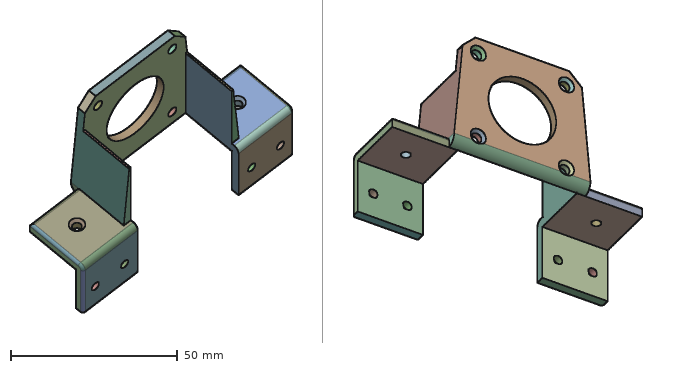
import cadquery as cq

overall_length = 88.0
overall_depth = 26.0
overall_height = 60.99

plate_size = 42.0
plate_thickness = 3.0
plate_foot_width = 48.0
corner_cut = 4.5
foot_radius = 3.5
pilot_diameter = 23.78
motor_hole_spacing = 31.0
motor_hole_diameter = 3.4

shelf_thickness = 3.7
flange_thickness = 3.0
bend_radius = 2.0
edge_radius = 1.0
ear_hole_diameter = 3.0
shelf_hole_x = 13.0
shelf_hole_positions_y = (-33.9, 33.1)
flange_hole_positions_y = (-38.7, -26.5, 26.5, 38.5)
flange_hole_z = 8.8

wall_height = 25.8

countersink_width = 1.0

half_length = overall_length / 2
plate_half_width = plate_size / 2
foot_half_width = plate_foot_width / 2
plate_bottom = overall_height - plate_size
shelf_top = plate_bottom + shelf_thickness
wall_top = shelf_top + wall_height
flange_x = overall_depth - flange_thickness
motor_axis_z = overall_height - plate_size / 2
corner_z = overall_height - corner_cut
ear_width = half_length - plate_half_width


def tapered_half_width(z):
    """Half width of the motor plate at height z, above the shelf."""
    fraction = (z - shelf_top) / (corner_z - shelf_top)
    return foot_half_width + fraction * (plate_half_width - foot_half_width)


def countersunk_cutter(plane, diameter, depth):
    """Through-hole cutter with a 45-degree countersink, entering along the plane's normal."""
    radius = diameter / 2
    hole = cq.Workplane(plane).circle(radius).extrude(depth)
    cone = cq.Solid.makeCone(
        radius + countersink_width, radius, countersink_width, plane.origin, plane.zDir
    )
    return hole.union(cq.Workplane(cone))


def make_motor_plate():
    """Tapered plate with cut top corners and a rounded front foot."""
    top_half_width = plate_half_width - corner_cut
    outline = [
        (-foot_half_width, plate_bottom),
        (foot_half_width, plate_bottom),
        (foot_half_width, shelf_top),
        (plate_half_width, corner_z),
        (top_half_width, overall_height),
        (-top_half_width, overall_height),
        (-plate_half_width, corner_z),
        (-foot_half_width, shelf_top),
    ]
    plate = cq.Workplane("YZ").polyline(outline).close().extrude(plate_thickness)
    rounded_blank = (
        cq.Workplane("XY")
        .box(overall_depth, overall_length, plate_size, centered=(False, True, False))
        .translate((0, 0, plate_bottom))
        .edges("<X and <Z")
        .fillet(foot_radius)
    )
    return plate.intersect(rounded_blank)


def make_ear():
    """L-shaped ear on the +Y side: a shelf with a flange hanging from its back edge."""
    profile = [
        (plate_thickness, plate_bottom),
        (plate_thickness, shelf_top),
        (overall_depth, shelf_top),
        (overall_depth, 0),
        (flange_x, 0),
        (flange_x, plate_bottom),
    ]
    ear = (
        cq.Workplane("XZ", origin=(0, half_length, 0))
        .polyline(profile)
        .close()
        .extrude(ear_width)
    )
    ear = ear.edges(">X and >Z").fillet(bend_radius)
    end_edges = cq.selectors.BoxSelector(
        (plate_thickness + edge_radius, half_length - edge_radius, shelf_top - edge_radius / 2),
        (flange_x, half_length + edge_radius, shelf_top + edge_radius / 2),
    )
    front_edge = ear.edges("<X and >Z")
    return front_edge.add(ear.edges(end_edges)).fillet(edge_radius)


def make_wall():
    """Side wall on the +Y side: upright inside, following the plate's taper outside."""
    outline = [
        (plate_half_width, plate_bottom),
        (foot_half_width, plate_bottom),
        (foot_half_width, shelf_top),
        (tapered_half_width(wall_top), wall_top),
        (plate_half_width, wall_top),
    ]
    return (
        cq.Workplane("YZ", origin=(plate_thickness, 0, 0))
        .polyline(outline)
        .close()
        .extrude(flange_x - plate_thickness)
    )


def cut_motor_holes(body):
    """Pilot bore and four screw holes countersunk from the front."""
    bore = (
        cq.Workplane("YZ", origin=(0, 0, motor_axis_z))
        .circle(pilot_diameter / 2)
        .extrude(plate_thickness)
    )
    body = body.cut(bore)
    offset = motor_hole_spacing / 2
    for y in (-offset, offset):
        for z in (motor_axis_z - offset, motor_axis_z + offset):
            plane = cq.Plane(origin=(0, y, z), xDir=(0, 1, 0), normal=(1, 0, 0))
            body = body.cut(countersunk_cutter(plane, motor_hole_diameter, plate_thickness))
    return body


def cut_ear_holes(body):
    """Countersunk holes in the shelves and plain holes in the flanges."""
    for y in shelf_hole_positions_y:
        plane = cq.Plane(origin=(shelf_hole_x, y, shelf_top), xDir=(1, 0, 0), normal=(0, 0, -1))
        body = body.cut(countersunk_cutter(plane, ear_hole_diameter, shelf_thickness))
    flange_holes = (
        cq.Workplane("YZ", origin=(flange_x, 0, flange_hole_z))
        .pushPoints([(y, 0) for y in flange_hole_positions_y])
        .circle(ear_hole_diameter / 2)
        .extrude(flange_thickness)
    )
    return body.cut(flange_holes)


side = make_ear().union(make_wall())
bracket = cut_motor_holes(make_motor_plate()).union(side).union(side.mirror("XZ"))
result = cut_ear_holes(bracket)